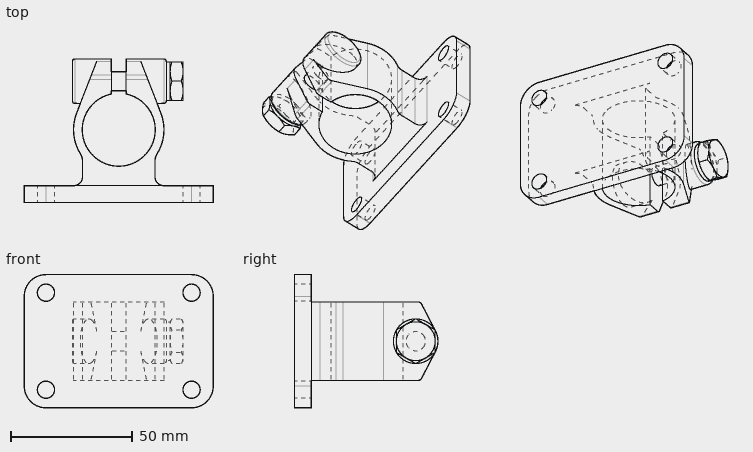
import cadquery as cq
import math

PLATE_WIDTH = 78.0
PLATE_HEIGHT = 55.0
PLATE_THICKNESS = 7.0
PLATE_CORNER_RADIUS = 9.0
MOUNT_HOLE_DIAMETER = 7.0
MOUNT_HOLE_SPACING_X = 60.0
MOUNT_HOLE_SPACING_Z = 40.0

CLAMP_HEIGHT = 32.5
BORE_DIAMETER = 30.0
RING_DIAMETER = 37.4
RING_CENTER_Y = 30.0
STEM_WIDTH = BORE_DIAMETER
STEM_RING_FILLET = 5.5
STEM_PLATE_FILLET = 3.5
CHEEK_TAPER = math.radians(21.3)
SLOT_WIDTH = 6.0

BOSS_DIAMETER = 18.4
BOSS_CENTER_Y = 50.0
BOSS_LEFT_X = -19.1
BOSS_RIGHT_X = 19.6
BOSS_EDGE_FILLET = 1.0
BEVEL_ANGLE = math.radians(27.3)
BEVEL_CORNER_RADIUS = 2.0

SCREW_DIAMETER = 8.0
WASHER_DIAMETER = 16.0
WASHER_THICKNESS = 1.6
HEAD_ACROSS_FLATS = 16.0
HEAD_THICKNESS = 5.3
HEAD_CHAMFER_ANGLE = math.radians(30)
HEXAGON_SIDES = 6

BOSS_RADIUS = BOSS_DIAMETER / 2
RING_RADIUS = RING_DIAMETER / 2
BOSS_BACK_Y = BOSS_CENTER_Y + BOSS_RADIUS


def x_cylinder(diameter, start_x, length):
    """Cylinder on the screw axis, running toward +X from start_x."""
    return (
        cq.Workplane("YZ", origin=(start_x, BOSS_CENTER_Y, 0))
        .circle(diameter / 2)
        .extrude(length)
    )


def make_plate():
    plate = (
        cq.Workplane("XZ")
        .rect(PLATE_WIDTH, PLATE_HEIGHT)
        .extrude(-PLATE_THICKNESS)
        .edges("|Y")
        .fillet(PLATE_CORNER_RADIUS)
    )
    holes = (
        cq.Workplane("XZ")
        .rect(MOUNT_HOLE_SPACING_X, MOUNT_HOLE_SPACING_Z, forConstruction=True)
        .vertices()
        .circle(MOUNT_HOLE_DIAMETER / 2)
        .extrude(-PLATE_THICKNESS)
    )
    return plate.cut(holes)


def make_clamp_outline():
    """Ring, stem and cheeks as one profile in XY, extruded over the clamp height."""
    half_stem = STEM_WIDTH / 2

    blend_x = half_stem + STEM_RING_FILLET
    blend_reach = RING_RADIUS + STEM_RING_FILLET
    blend_y = RING_CENTER_Y - math.sqrt(blend_reach**2 - blend_x**2)
    ring_share = RING_RADIUS / blend_reach
    blend_top_x = blend_x * ring_share
    blend_top_y = RING_CENTER_Y + (blend_y - RING_CENTER_Y) * ring_share
    blend_half_turn = math.atan2(blend_top_y - blend_y, blend_x - blend_top_x) / 2
    blend_mid_x = blend_x - STEM_RING_FILLET * math.cos(blend_half_turn)
    blend_mid_y = blend_y + STEM_RING_FILLET * math.sin(blend_half_turn)

    taper_x = RING_RADIUS * math.cos(CHEEK_TAPER)
    taper_y = RING_CENTER_Y + RING_RADIUS * math.sin(CHEEK_TAPER)
    tip_x = taper_x - (BOSS_BACK_Y - taper_y) * math.tan(CHEEK_TAPER)

    fillet_y = PLATE_THICKNESS + STEM_PLATE_FILLET
    foot_x = half_stem + STEM_PLATE_FILLET
    fillet_mid_offset = STEM_PLATE_FILLET * (1 - math.sqrt(0.5))
    fillet_mid_x = half_stem + fillet_mid_offset
    fillet_mid_y = PLATE_THICKNESS + fillet_mid_offset

    right_half = (
        cq.Workplane("XY", origin=(0, 0, -CLAMP_HEIGHT / 2))
        .moveTo(0, PLATE_THICKNESS)
        .lineTo(foot_x, PLATE_THICKNESS)
        .threePointArc((fillet_mid_x, fillet_mid_y), (half_stem, fillet_y))
        .lineTo(half_stem, blend_y)
        .threePointArc((blend_mid_x, blend_mid_y), (blend_top_x, blend_top_y))
        .threePointArc((RING_RADIUS, RING_CENTER_Y), (taper_x, taper_y))
        .lineTo(tip_x, BOSS_BACK_Y)
        .lineTo(0, BOSS_BACK_Y)
        .close()
        .extrude(CLAMP_HEIGHT)
    )
    return right_half.union(right_half.mirror("YZ"))


def make_bevel_envelope():
    """Side profile in YZ: cheeks beveled tangent to the boss and rounded at its back."""
    half_height = CLAMP_HEIGHT / 2
    tangent_y = BOSS_CENTER_Y + BOSS_RADIUS * math.cos(BEVEL_ANGLE)
    tangent_z = BOSS_RADIUS * math.sin(BEVEL_ANGLE)
    corner_y = tangent_y - (half_height - tangent_z) * math.tan(BEVEL_ANGLE)
    envelope = (
        cq.Workplane("YZ", origin=(-PLATE_WIDTH / 2, 0, 0))
        .moveTo(0, -half_height)
        .lineTo(corner_y, -half_height)
        .lineTo(tangent_y, -tangent_z)
        .threePointArc((BOSS_BACK_Y, 0), (tangent_y, tangent_z))
        .lineTo(corner_y, half_height)
        .lineTo(0, half_height)
        .close()
        .extrude(PLATE_WIDTH)
    )
    for corner_z in (-half_height, half_height):
        corner_edge = cq.selectors.NearestToPointSelector((0, corner_y, corner_z))
        envelope = envelope.edges(corner_edge).fillet(BEVEL_CORNER_RADIUS)
    return envelope


def make_clamp():
    boss = x_cylinder(BOSS_DIAMETER, BOSS_LEFT_X, BOSS_RIGHT_X - BOSS_LEFT_X)
    boss = boss.faces("<X or >X").edges().fillet(BOSS_EDGE_FILLET)
    bore = (
        cq.Workplane("XY", origin=(0, RING_CENTER_Y, -CLAMP_HEIGHT / 2))
        .circle(BORE_DIAMETER / 2)
        .extrude(CLAMP_HEIGHT)
    )
    slot = cq.Workplane("XY", origin=(0, RING_CENTER_Y, 0)).box(
        SLOT_WIDTH,
        BOSS_BACK_Y - RING_CENTER_Y,
        CLAMP_HEIGHT,
        centered=(True, False, True),
    )
    body = make_clamp_outline().intersect(make_bevel_envelope())
    return body.union(boss).cut(bore).cut(slot)


def make_screw():
    """Shank bridging the slot, washer, and hexagon head with corners toward +Z and -Z."""
    shank = x_cylinder(SCREW_DIAMETER, -SLOT_WIDTH, BOSS_RIGHT_X + SLOT_WIDTH)
    washer = x_cylinder(WASHER_DIAMETER, BOSS_RIGHT_X, WASHER_THICKNESS)
    head_x = BOSS_RIGHT_X + WASHER_THICKNESS
    across_corners = HEAD_ACROSS_FLATS / math.cos(math.pi / HEXAGON_SIDES)
    head = (
        cq.Workplane("YZ", origin=(head_x, BOSS_CENTER_Y, 0))
        .transformed(rotate=(0, 0, 90))
        .polygon(HEXAGON_SIDES, across_corners)
        .extrude(HEAD_THICKNESS)
    )
    chamfer_depth = (across_corners - HEAD_ACROSS_FLATS) / 2
    blank = (
        x_cylinder(across_corners, head_x, HEAD_THICKNESS)
        .faces("<X or >X")
        .chamfer(chamfer_depth * math.tan(HEAD_CHAMFER_ANGLE), chamfer_depth)
    )
    return shank.union(washer).union(head.intersect(blank))


result = make_plate().union(make_clamp()).union(make_screw())